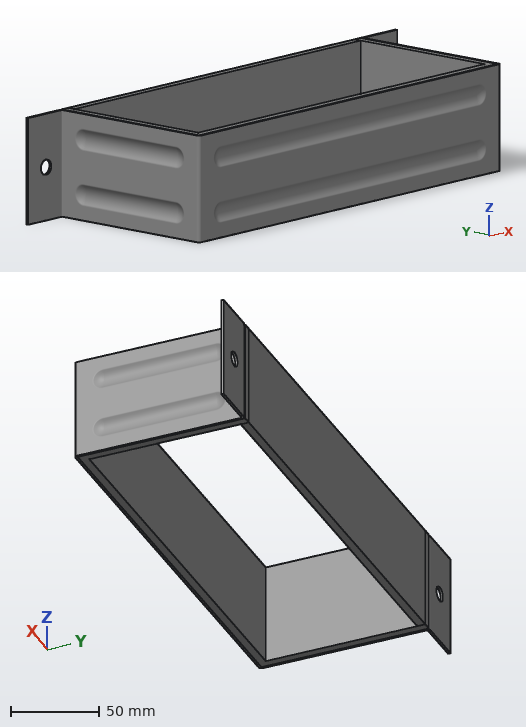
import cadquery as cq
import math

overall_width = 314.0
depth = 105.5
height = 62.0
box_width = 257.0

sheet = 1.5
bend_inner_radius = 0.5
bend_outer_radius = bend_inner_radius + sheet
hole_diameter = 8.8
hole_edge_distance = 15.0

liner_thickness = 5.0
back_bar_thickness = 5.0

bead_width = 13.0
bead_pitch = 32.0
front_bead_length = 232.5
side_bead_length = 83.0
bead_depth = 2.0
bead_rim_radius = 1.73

back_y = depth / 2
front_y = -depth / 2
half_box = box_width / 2
hole_x = overall_width / 2 - hole_edge_distance
half_liner = half_box - sheet
half_opening = half_liner - liner_thickness

bead_half_width = bead_width / 2
bead_slope = 2 * math.atan2(bead_depth, bead_half_width)
bead_floor_radius = bead_half_width / math.sin(bead_slope) - bead_rim_radius


def block(half_width, y_min, y_max):
    """Full-height block, centred on X and Z, between two Y positions."""
    return (
        cq.Workplane("XY", origin=(0, (y_min + y_max) / 2, 0))
        .box(2 * half_width, y_max - y_min, height)
    )


def round_corners(body, x, y, radius):
    """Round the mirrored pair of vertical edges at (-x, y) and (x, y)."""
    for corner_x in (-x, x):
        body = body.edges(cq.selectors.NearestToPointSelector((corner_x, y, 0))).fillet(radius)
    return body



def bead_section(offset):
    """Half section of the trough: distance from the bead axis, and depth below the wall face.

    An offset of 0 gives the hollow itself; an offset of one sheet thickness gives
    the inner surface of the pressed sheet.
    """
    rim_radius = bead_rim_radius - offset
    floor_radius = bead_floor_radius + offset
    floor_center = bead_depth - bead_floor_radius

    def rim_point(angle):
        return (
            bead_half_width - rim_radius * math.sin(angle),
            bead_rim_radius - rim_radius * math.cos(angle),
        )

    def floor_point(angle):
        return (
            floor_radius * math.sin(angle),
            floor_center + floor_radius * math.cos(angle),
        )

    return (
        cq.Workplane("XY")
        .moveTo(0, offset)
        .lineTo(bead_half_width, offset)
        .threePointArc(rim_point(bead_slope / 2), rim_point(bead_slope))
        .threePointArc(floor_point(bead_slope / 2), floor_point(0))
        .close()
    )


def trough(offset, length):
    """Straight trough of the offset half section, with a half-round end at each end."""
    half_straight = (length - bead_width) / 2
    half_trough = bead_section(offset).extrude(2 * half_straight).translate((0, 0, -half_straight))
    straight = half_trough.union(half_trough.mirror("YZ")).rotate((0, 0, 0), (0, 1, 0), 90)
    end = bead_section(offset).revolve(360, (0, 0), (0, 1))
    body = straight
    for end_x in (-half_straight, half_straight):
        body = body.union(end.translate((end_x, 0, 0)))
    return body


def all_beads(offset):
    """Two troughs, one above the other, in the front wall and in each side wall."""
    front = trough(offset, front_bead_length).translate((0, front_y, 0))
    side = trough(offset, side_bead_length)
    left = side.rotate((0, 0, 0), (0, 0, 1), -90).translate((-half_box, 0, 0))
    right = side.rotate((0, 0, 0), (0, 0, 1), 90).translate((half_box, 0, 0))
    beads = cq.Workplane("XY")
    for z in (-bead_pitch / 2, bead_pitch / 2):
        for wall_bead in (front, left, right):
            beads = beads.add(wall_bead.translate((0, 0, z)))
    return beads.combine()



def make_bracket():
    """Hat-shaped sheet bracket with rounded bends, beads and flange holes."""
    flange_front_y = back_y - sheet
    body = block(overall_width / 2, flange_front_y, back_y)
    body = body.union(block(half_box, front_y, back_y))
    body = body.cut(block(half_liner, front_y + sheet, back_y))
    body = round_corners(body, half_box, front_y, bend_outer_radius)
    body = round_corners(body, half_liner, front_y + sheet, bend_inner_radius)
    body = round_corners(body, half_box, flange_front_y, bend_inner_radius)
    body = round_corners(body, half_liner, back_y, bend_outer_radius)
    body = body.union(all_beads(sheet)).cut(all_beads(0))
    holes = (
        cq.Workplane("XZ", origin=(0, back_y, 0))
        .pushPoints([(-hole_x, 0), (hole_x, 0)])
        .circle(hole_diameter / 2)
        .extrude(sheet)
    )
    return body.cut(holes).solids()


def make_liner():
    """U-shaped bar that follows the inside of the bracket, recessed around its beads."""
    inner_front_y = front_y + sheet
    body = block(half_liner, inner_front_y, back_y)
    body = body.cut(block(half_opening, inner_front_y + liner_thickness, back_y))
    body = round_corners(body, half_liner, inner_front_y, bend_inner_radius)
    return body.cut(all_beads(sheet)).solids()


def make_back_bar():
    """Straight bar that closes the frame between the ends of the liner."""
    return block(half_opening, back_y - back_bar_thickness, back_y)


bracket = make_bracket()
liner = make_liner()
back_bar = make_back_bar()

result = cq.Compound.makeCompound([bracket.val(), liner.val(), back_bar.val()])